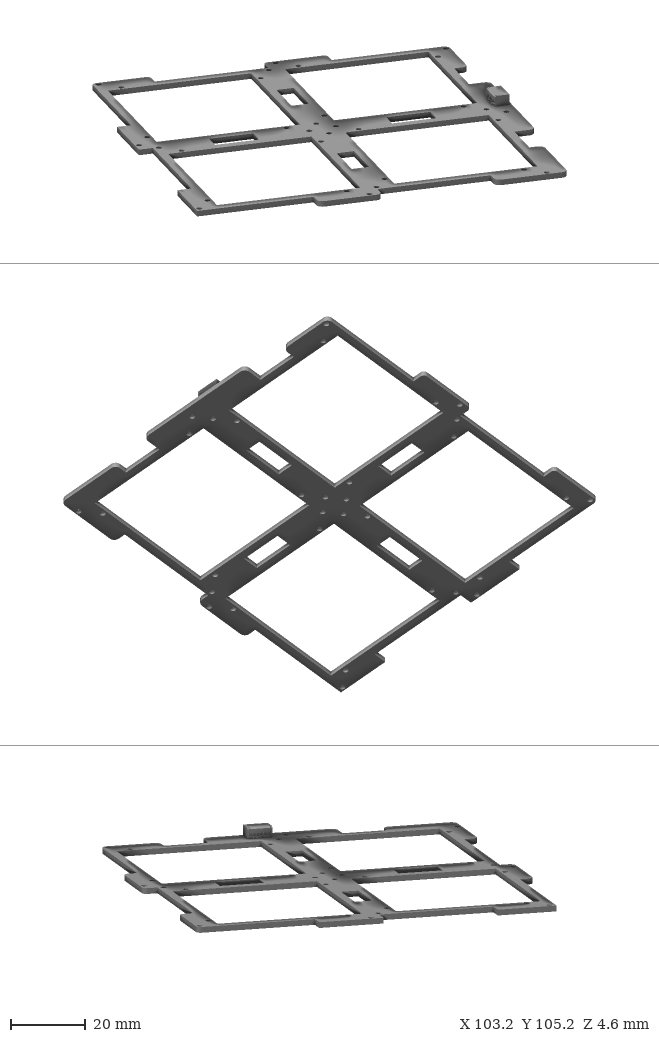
import cadquery as cq

PLATE_WIDTH = 103.2
PLATE_LENGTH = 105.2
PLATE_THICKNESS = 1.6
PITCH = 50.0
WINDOW = 40.4
BAR_EDGE = 47.7
SLOT_LENGTH = 12.4
SLOT_WIDTH = 4.8
TAB_GAP = 1.5
TAB_ROOT = 1
TAB_RADIUS = 1.7
SIDE_TAB_RADIUS = 1.3
HOLE_DIAMETER = 1.6
TAB_HOLE = (-21, 25.5)
WINDOW_HOLE = (-16.0, 21.5)

TAB_EDGE = PLATE_WIDTH / 2
TOP_TAB_EDGE = PLATE_LENGTH - TAB_EDGE
TAB_START = BAR_EDGE - TAB_ROOT
HALF_PITCH = PITCH / 2
SLOT_NEAR = HALF_PITCH - SLOT_LENGTH / 2
SLOT_FAR = HALF_PITCH + SLOT_LENGTH / 2
TAB_END = TAB_GAP / 2

CONNECTOR_X = -4.0
HOUSING_FRONT_Y = 52.8
HOUSING_LENGTH = 6.9
HOUSING_DEPTH = 4.1
HOUSING_HEIGHT = 3.0
REAR_CHAMFER = 0.4
CHEEK = 0.37
SLIT_WIDTH = 0.2
SLIT_DEPTH = 1.3
POCKET_DEPTH = 0.5
POCKET_BOTTOM = 0.5
POCKET_TOP = 1.4
STEP_DEPTH = 0.2
STEP_TOP = 2.2

PIN_COUNT = 5
PIN_PITCH = 1.0
PIN_WIDTH = 0.19
PIN_THICKNESS = 0.4
PIN_OVERHANG = 0.6

CLIP_THICKNESS = 0.3
CLIP_LENGTH = 1.7
CLIP_FOOT_HEIGHT = 0.5
CLIP_POST_LENGTH = 0.8
CLIP_HEIGHT = 1.3

HOUSING_REAR_Y = HOUSING_FRONT_Y - HOUSING_DEPTH
HOUSING_LEFT_X = CONNECTOR_X - HOUSING_LENGTH / 2
HOUSING_RIGHT_X = CONNECTOR_X + HOUSING_LENGTH / 2
POCKET_WALL_Y = HOUSING_REAR_Y + POCKET_DEPTH


def block(x_range, y_range, z_range):
    """A box given by its limits along each axis."""
    (x0, x1), (y0, y1), (z0, z1) = x_range, y_range, z_range
    return cq.Workplane("XY").box(x1 - x0, y1 - y0, z1 - z0, centered=False).translate((x0, y0, z0))


def plate_block(x_range, y_range):
    """A box through the full thickness of the plate."""
    return block(x_range, y_range, (-PLATE_THICKNESS, 0))


def quarter_turns(point):
    """The point and its three copies, each turned 90 degrees further about the origin."""
    x, y = point
    return [(x, y), (-y, x), (-x, -y), (y, -x)]


def make_bars_and_tabs():
    body = plate_block((-BAR_EDGE, BAR_EDGE), (-BAR_EDGE, BAR_EDGE))

    body = body.union(
        plate_block((-BAR_EDGE, -SLOT_FAR), (TAB_START, TAB_EDGE)).edges("|Z and >Y").fillet(TAB_RADIUS)
    )
    body = body.union(
        plate_block((-SLOT_NEAR, SLOT_NEAR), (TAB_START, TOP_TAB_EDGE)).edges("|Z and >Y").fillet(TAB_RADIUS)
    )
    body = body.union(
        plate_block((SLOT_FAR, TAB_EDGE), (SLOT_FAR, TAB_EDGE)).edges("|Z and (>X or >Y)").fillet(TAB_RADIUS)
    )
    body = body.union(
        plate_block((TAB_START, TAB_EDGE), (-SLOT_NEAR, -TAB_END)).edges("|Z and >X").fillet(TAB_RADIUS)
    )
    for y_range in ((TAB_END, SLOT_NEAR), (-BAR_EDGE, -SLOT_FAR)):
        side_tab = plate_block((-TAB_EDGE, -TAB_START), y_range)
        body = body.union(side_tab.edges("|Z and <X").fillet(SIDE_TAB_RADIUS))
    for x_range in ((-SLOT_NEAR, -TAB_END), (SLOT_FAR, BAR_EDGE)):
        body = body.union(plate_block(x_range, (-TAB_EDGE, -TAB_START)))
    return body


def make_plate():
    plate = make_bars_and_tabs()
    centres = quarter_turns((HALF_PITCH, HALF_PITCH))
    openings = cq.Workplane("XY").pushPoints(centres).rect(WINDOW, WINDOW).extrude(-PLATE_THICKNESS)
    plate = plate.cut(openings)

    middles = [(-HALF_PITCH, 0), (HALF_PITCH, 0)]
    slots = cq.Workplane("XY").pushPoints(middles).rect(SLOT_LENGTH, SLOT_WIDTH).extrude(-PLATE_THICKNESS)
    plate = plate.cut(slots).cut(slots.rotate((0, 0, 0), (0, 0, 1), 90))

    hole_offsets = quarter_turns(TAB_HOLE) + quarter_turns(WINDOW_HOLE)
    hole_points = [(cx + dx, cy + dy) for cx, cy in centres for dx, dy in hole_offsets]
    holes = cq.Workplane("XY").pushPoints(hole_points).circle(HOLE_DIAMETER / 2).extrude(-PLATE_THICKNESS)
    return plate.cut(holes)


def make_pins():
    """L-shaped pins: a riser against the rear wall and a foot on the plate."""
    pins = []
    for i in range(PIN_COUNT):
        x = CONNECTOR_X + (i - (PIN_COUNT - 1) / 2) * PIN_PITCH
        x_range = (x - PIN_WIDTH / 2, x + PIN_WIDTH / 2)
        foot = block(x_range, (HOUSING_REAR_Y - PIN_OVERHANG, POCKET_WALL_Y), (0, PIN_THICKNESS))
        riser = block(x_range, (POCKET_WALL_Y - PIN_THICKNESS, POCKET_WALL_Y), (0, POCKET_TOP))
        pins.append(foot.union(riser))
    return pins


def make_side_clips():
    """L-shaped solder clips set into the lower front corners of the housing."""
    clips = []
    for x in (HOUSING_LEFT_X, HOUSING_RIGHT_X - CLIP_THICKNESS):
        x_range = (x, x + CLIP_THICKNESS)
        foot = block(x_range, (HOUSING_FRONT_Y - CLIP_LENGTH, HOUSING_FRONT_Y), (0, CLIP_FOOT_HEIGHT))
        post = block(x_range, (HOUSING_FRONT_Y - CLIP_POST_LENGTH, HOUSING_FRONT_Y), (0, CLIP_HEIGHT))
        clips.append(foot.union(post))
    return clips


def make_housing(inserts):
    housing = block((HOUSING_LEFT_X, HOUSING_RIGHT_X), (HOUSING_REAR_Y, HOUSING_FRONT_Y), (0, HOUSING_HEIGHT))
    housing = housing.edges("<Y and >Z").chamfer(REAR_CHAMFER)

    slit_y = (HOUSING_REAR_Y, HOUSING_REAR_Y + SLIT_DEPTH)
    for x in (HOUSING_LEFT_X + CHEEK, HOUSING_RIGHT_X - CHEEK - SLIT_WIDTH):
        housing = housing.cut(block((x, x + SLIT_WIDTH), slit_y, (0, HOUSING_HEIGHT)))

    recess_x = (HOUSING_LEFT_X + CHEEK, HOUSING_RIGHT_X - CHEEK)
    pocket = block(recess_x, (HOUSING_REAR_Y, POCKET_WALL_Y), (POCKET_BOTTOM, POCKET_TOP))
    step = block(recess_x, (HOUSING_REAR_Y, HOUSING_REAR_Y + STEP_DEPTH), (POCKET_TOP, STEP_TOP))
    housing = housing.cut(pocket).cut(step)

    for insert in inserts:
        housing = housing.cut(insert)
    return housing


plate = make_plate()
pins = make_pins()
side_clips = make_side_clips()
housing = make_housing(pins + side_clips)

result = cq.Compound.makeCompound(
    [plate.val(), housing.val(), *[pin.val() for pin in pins], *[clip.val() for clip in side_clips]]
)